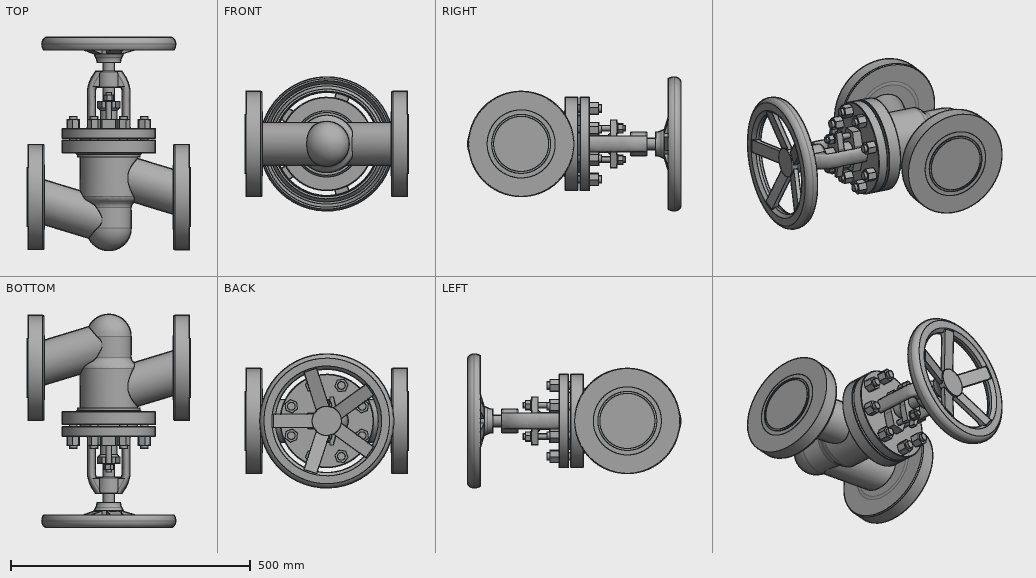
import cadquery as cq
import math


FACE_TO_FACE = 340.0
FLANGE_RADIUS = 110.0
FLANGE_BACK_X = 135.0
FLANGE_CHAMFER_LENGTH = 3.0
FLANGE_CHAMFER_DEPTH = 1.5
RAISED_FACE_RADIUS = 61.5
RAISED_FACE_HEIGHT = 2.0
FACE_RING_RADIUS = 71.0
FACE_RING_HEIGHT = 0.3
FACE_RECESS_RADIUS = 57.5
FACE_RECESS_DEPTH = 0.5
BACK_BOSS_RADIUS = 64.0
BACK_BOSS_HEIGHT = 0.8

PIPE_RADIUS = 45.0
PIPE_SLOPE_DEG = 17.0

BODY_RADIUS = 60.0
LOWER_RADIUS = 47.0
BODY_LOW_Y = 1.6
LOWER_TOP_Y = -22.0
BALL_CENTER_Y = -65.0
COLLAR_RADIUS = 65.5
COLLAR_FLARE_RADIUS = 69.0
COLLAR_LOW_Y = 83.7
COLLAR_FLARE_Y = 88.5

BONNET_FLANGE_RADIUS = 97.5
BODY_FLANGE_LOW_Y = 91.5
BODY_FLANGE_TOP_Y = 118.5
GASKET_RADIUS = 60.0
BONNET_LOW_Y = 122.5
BONNET_TOP_Y = 143.0
JOINT_CHAMFER = 1.0

BOLT_COUNT = 8
BOLT_CIRCLE_RADIUS = 80.0
STUD_RADIUS = 8.0
STUD_TOP_Y = 168.0
NUT_ACROSS_CORNERS = 28.0
NUT_HEIGHT = 18.5

GLAND_HALF_WIDTH = 23.5
GLAND_END_HALF_WIDTH = 14.0
GLAND_HALF_LENGTH = 50.0
GLAND_SHOULDER_Z = 15.0
GLAND_PLATE_LOW_Y = 186.0
GLAND_PLATE_TOP_Y = 199.5
GLAND_SLEEVE_RADIUS = 17.4
GLAND_CONE_RADIUS = 22.5
GLAND_CONE_LOW_Y = 180.5
STUFFING_BOX_HALF_LENGTH = 45.0
STUFFING_BOX_TOP_Y = 162.0
GLAND_STUD_Z = 32.7
GLAND_STUD_RADIUS = 6.0
GLAND_STUD_TOP_Y = 217.5
GLAND_SLOT_WIDTH = 13.0
GLAND_WASHER_RADIUS = 10.5
GLAND_WASHER_THICKNESS = 2.0
GLAND_NUT_ACROSS_CORNERS = 21.0
GLAND_NUT_HEIGHT = 11.0
GLAND_NUT_TURN_DEG = 48.0

YOKE_HUB_RADIUS = 25.0
YOKE_HUB_LOW_Y = 228.0
YOKE_HUB_TOP_Y = 262.6
YOKE_HUB_CHAMFER_LENGTH = 3.0
YOKE_HUB_CHAMFER_DEPTH = 0.8
ARM_CENTER_X = 36.0
ARM_HALF_WIDTH = 9.0
ARM_HALF_DEPTH = 16.6
ARM_BEND_Y = 224.0
ARM_BEND_RADIUS = 22.0
ARM_LEAN_DEG = 31.0
ARM_LEAN_LENGTH = 38.0
ARM_LEG_STEPS = 4
YOKE_WEB_LOW_Y = 231.0
YOKE_WEB_HALF_DEPTH = 16.2

STEM_RADIUS = 12.2
WHEEL_RADIUS = 140.0
WHEEL_LOW_Y = 306.5
WHEEL_MID_Y = 319.4
WHEEL_TOP_Y = 333.5
WHEEL_HUB_LOW_Y = 280.5
WHEEL_HUB_TOP_Y = 312.0
SPOKE_COUNT = 5
SPOKE_WIDTH = 28.0
SPOKE_THICKNESS = 9.7
SPOKE_RISE = 0.30


def revolve_about_y(profile):
    """Turn a closed XY profile, drawn at X >= 0, about the Y axis."""
    return profile.close().revolve(360, (0, 0, 0), (0, 1, 0))


def plan_at(y):
    """Workplane across the stem axis at height y; extrude by a negative length to go towards +Y."""
    return cq.Workplane("XZ", origin=(0, y, 0))


def cylinder(radius, low_y, top_y, x=0, z=0):
    return plan_at(low_y).center(x, z).circle(radius).extrude(low_y - top_y)


def hex_nut(across_corners, low_y, height, x, z, turn_deg):
    """Hexagonal prism with one corner at turn_deg from +X."""
    nut = plan_at(low_y).polygon(6, across_corners).extrude(-height)
    return nut.rotate((0, 0, 0), (0, 1, 0), -turn_deg).translate((x, 0, z))


def pipe_flange():
    """Flange on the -X side with its raised face, face recess and low boss behind."""
    face_x = -FACE_TO_FACE / 2
    front_x = face_x + RAISED_FACE_HEIGHT
    back_x = -FLANGE_BACK_X
    profile = (
        cq.Workplane("XY")
        .moveTo(face_x + FACE_RECESS_DEPTH, 0)
        .lineTo(face_x + FACE_RECESS_DEPTH, FACE_RECESS_RADIUS)
        .lineTo(face_x, FACE_RECESS_RADIUS)
        .lineTo(face_x, RAISED_FACE_RADIUS)
        .lineTo(front_x - FACE_RING_HEIGHT, RAISED_FACE_RADIUS)
        .lineTo(front_x - FACE_RING_HEIGHT, FACE_RING_RADIUS)
        .lineTo(front_x, FACE_RING_RADIUS)
        .lineTo(front_x, FLANGE_RADIUS)
        .lineTo(back_x - FLANGE_CHAMFER_LENGTH, FLANGE_RADIUS)
        .lineTo(back_x, FLANGE_RADIUS - FLANGE_CHAMFER_DEPTH)
        .lineTo(back_x, FACE_RING_RADIUS)
        .lineTo(back_x + BACK_BOSS_HEIGHT, BACK_BOSS_RADIUS)
        .lineTo(back_x + BACK_BOSS_HEIGHT, 0)
    )
    return profile.close().revolve(360, (0, 0, 0), (1, 0, 0))


def slanted_pipe():
    """Pipe from the centre of the -X flange face, falling towards the stem axis."""
    slope = math.radians(PIPE_SLOPE_DEG)
    axis_rise = FACE_TO_FACE / 2 * math.tan(slope)
    direction = cq.Vector(-math.cos(slope), math.sin(slope), 0)
    length = FLANGE_BACK_X / math.cos(slope) + PIPE_RADIUS * math.tan(slope)
    pipe = cq.Solid.makeCylinder(PIPE_RADIUS, length, cq.Vector(0, -axis_rise, 0), direction)
    return cq.Workplane(pipe)


def pipe_side():
    return pipe_flange().union(slanted_pipe())


def body():
    """Turned body with the rounded neck, the ball end and the collar under the body flange."""
    downwards = (0, -1)
    profile = (
        cq.Workplane("XY")
        .moveTo(0, BODY_FLANGE_LOW_Y)
        .lineTo(COLLAR_FLARE_RADIUS, BODY_FLANGE_LOW_Y)
        .lineTo(COLLAR_RADIUS, COLLAR_FLARE_Y)
        .lineTo(COLLAR_RADIUS, COLLAR_LOW_Y)
        .lineTo(BODY_RADIUS, COLLAR_LOW_Y)
        .lineTo(BODY_RADIUS, BODY_LOW_Y)
        .spline([(LOWER_RADIUS, LOWER_TOP_Y)], tangents=[downwards, downwards], includeCurrent=True)
        .lineTo(LOWER_RADIUS, BALL_CENTER_Y)
        .radiusArc((0, BALL_CENTER_Y - LOWER_RADIUS), LOWER_RADIUS)
    )
    return revolve_about_y(profile)


def bonnet_joint():
    """Body flange and bonnet flange with the gasket between them."""
    lower = cylinder(BONNET_FLANGE_RADIUS, BODY_FLANGE_LOW_Y, BODY_FLANGE_TOP_Y)
    upper = cylinder(BONNET_FLANGE_RADIUS, BONNET_LOW_Y, BONNET_TOP_Y)
    gasket = cylinder(GASKET_RADIUS, BODY_FLANGE_TOP_Y, BONNET_LOW_Y)
    flanges = lower.edges().chamfer(JOINT_CHAMFER).union(upper.edges().chamfer(JOINT_CHAMFER))
    return flanges.union(gasket)


def bonnet_bolts():
    """Ring of studs and nuts, no bolt on the X or Z axis, each nut with a corner pointing outwards."""
    step_deg = 360 / BOLT_COUNT
    bolts = cq.Workplane()
    for index in range(BOLT_COUNT):
        angle_deg = (index + 0.5) * step_deg
        x = BOLT_CIRCLE_RADIUS * math.cos(math.radians(angle_deg))
        z = BOLT_CIRCLE_RADIUS * math.sin(math.radians(angle_deg))
        stud = cylinder(STUD_RADIUS, BODY_FLANGE_LOW_Y, STUD_TOP_Y, x, z)
        nut = hex_nut(NUT_ACROSS_CORNERS, BONNET_TOP_Y, NUT_HEIGHT, x, z, angle_deg)
        bolts = bolts.add(stud.union(nut))
    return bolts.combine()


def gland_prism(half_length, low_y, top_y):
    """Eight-sided plate, narrowed at both Z ends."""
    quarter = [(GLAND_HALF_WIDTH, GLAND_SHOULDER_Z), (GLAND_END_HALF_WIDTH, half_length)]
    right = [(x, -z) for x, z in reversed(quarter)] + quarter
    left = [(-x, -z) for x, z in right]
    return plan_at(low_y).polyline(right + left).close().extrude(low_y - top_y)


def gland_sleeve():
    profile = (
        cq.Workplane("XY")
        .moveTo(0, BONNET_TOP_Y)
        .lineTo(GLAND_SLEEVE_RADIUS, BONNET_TOP_Y)
        .lineTo(GLAND_SLEEVE_RADIUS, GLAND_CONE_LOW_Y)
        .lineTo(GLAND_CONE_RADIUS, GLAND_PLATE_LOW_Y)
        .lineTo(0, GLAND_PLATE_LOW_Y)
    )
    return revolve_about_y(profile)


def gland_plate():
    """Gland plate with a slot for each gland stud, open at the ends."""
    plate = gland_prism(GLAND_HALF_LENGTH, GLAND_PLATE_LOW_Y, GLAND_PLATE_TOP_Y)
    slot_length = GLAND_HALF_LENGTH - GLAND_STUD_Z
    slot_center_z = GLAND_STUD_Z + slot_length / 2
    slots = (
        plan_at(GLAND_PLATE_LOW_Y)
        .pushPoints([(0, -slot_center_z), (0, slot_center_z)])
        .rect(GLAND_SLOT_WIDTH, slot_length)
        .extrude(GLAND_PLATE_LOW_Y - GLAND_PLATE_TOP_Y)
    )
    return plate.cut(slots)


def gland():
    """Stuffing box, gland sleeve and plate, and the two gland studs with washers and nuts."""
    parts = gland_prism(STUFFING_BOX_HALF_LENGTH, BONNET_TOP_Y, STUFFING_BOX_TOP_Y)
    parts = parts.union(gland_plate())
    parts = parts.union(gland_sleeve())
    nut_y = GLAND_PLATE_TOP_Y + GLAND_WASHER_THICKNESS
    for z in (-GLAND_STUD_Z, GLAND_STUD_Z):
        parts = parts.union(cylinder(GLAND_STUD_RADIUS, BONNET_TOP_Y, GLAND_STUD_TOP_Y, 0, z))
        parts = parts.union(cylinder(GLAND_WASHER_RADIUS, GLAND_PLATE_TOP_Y, nut_y, 0, z))
        nut = hex_nut(GLAND_NUT_ACROSS_CORNERS, nut_y, GLAND_NUT_HEIGHT, 0, z, GLAND_NUT_TURN_DEG)
        parts = parts.union(nut)
    return parts


def yoke_arm():
    """Oval arm on the +X side, leaning in at the top, with a web joining it to the yoke hub."""
    lean = math.radians(ARM_LEAN_DEG)
    bend_x = ARM_CENTER_X - ARM_BEND_RADIUS * (1 - math.cos(lean))
    bend_y = ARM_BEND_Y + ARM_BEND_RADIUS * math.sin(lean)
    tip_x = bend_x - ARM_LEAN_LENGTH * math.sin(lean)
    tip_y = bend_y + ARM_LEAN_LENGTH * math.cos(lean)
    leg_step = (ARM_BEND_Y - BONNET_TOP_Y) / ARM_LEG_STEPS
    leg_points = [(ARM_CENTER_X, BONNET_TOP_Y + i * leg_step) for i in range(ARM_LEG_STEPS + 1)]
    arm_points = leg_points + [(bend_x, bend_y), (tip_x, tip_y)]
    end_tangents = [(0, 1), (-math.sin(lean), math.cos(lean))]
    path = cq.Workplane("XY").spline(arm_points, tangents=end_tangents)
    section = plan_at(BONNET_TOP_Y).center(ARM_CENTER_X, 0).ellipse(ARM_HALF_WIDTH, ARM_HALF_DEPTH)
    arm = section.sweep(path)
    web_outline = [
        (0, YOKE_WEB_LOW_Y),
        (bend_x, YOKE_WEB_LOW_Y),
        (bend_x, bend_y),
        (tip_x, tip_y),
        (0, tip_y),
    ]
    web_plane = cq.Workplane("XY", origin=(0, 0, -YOKE_WEB_HALF_DEPTH))
    web = web_plane.polyline(web_outline).close().extrude(2 * YOKE_WEB_HALF_DEPTH)
    above_hub = plan_at(YOKE_HUB_TOP_Y).rect(4 * ARM_CENTER_X, 4 * ARM_HALF_DEPTH).extrude(-tip_y)
    return arm.union(web).cut(above_hub)


def yoke():
    hub = cylinder(YOKE_HUB_RADIUS, YOKE_HUB_LOW_Y, YOKE_HUB_TOP_Y)
    hub = hub.faces(">Y or <Y").chamfer(YOKE_HUB_CHAMFER_LENGTH, YOKE_HUB_CHAMFER_DEPTH)
    arm = yoke_arm()
    return hub.union(arm).union(arm.mirror("YZ"))


def wheel_rim():
    """Rim with a rounded outside and a groove open towards the valve."""
    lip_radius = 136.0
    lower_bulge_radius = 22.8
    shoulder_radius = 131.0
    upper_bulge_radius = 15.5
    groove_wall_radius = 132.0
    groove_outer_radius = 125.5
    groove_inner_radius = 121.0
    groove_floor_y = 322.0
    ledge_outer_radius = 114.5
    ledge_inner_radius = 110.0
    ledge_y = 312.5
    bore_radius = 107.5
    bore_top_y = 326.0
    profile = (
        cq.Workplane("XY")
        .moveTo(lip_radius, WHEEL_LOW_Y)
        .radiusArc((WHEEL_RADIUS, WHEEL_MID_Y), -lower_bulge_radius)
        .radiusArc((shoulder_radius, WHEEL_TOP_Y), -upper_bulge_radius)
        .lineTo(ledge_outer_radius, WHEEL_TOP_Y)
        .lineTo(bore_radius, bore_top_y)
        .lineTo(bore_radius, WHEEL_MID_Y)
        .lineTo(ledge_inner_radius, ledge_y)
        .lineTo(ledge_outer_radius, ledge_y)
        .lineTo(groove_inner_radius, groove_floor_y)
        .lineTo(groove_outer_radius, groove_floor_y)
        .lineTo(groove_wall_radius, WHEEL_LOW_Y)
    )
    return revolve_about_y(profile)


def wheel_hub():
    """Hub with a straight top and an underside flaring out from the bottom."""
    bottom_radius = 25.0
    curve_point = (25.4, 286.0)
    flare_start = (27.5, 291.5)
    flare_end = (30.5, 298.0)
    profile = (
        cq.Workplane("XY")
        .moveTo(0, WHEEL_HUB_LOW_Y)
        .lineTo(bottom_radius, WHEEL_HUB_LOW_Y)
        .threePointArc(curve_point, flare_start)
        .lineTo(*flare_end)
        .lineTo(flare_end[0], WHEEL_HUB_TOP_Y)
        .lineTo(0, WHEEL_HUB_TOP_Y)
    )
    return revolve_about_y(profile)


def wheel_spokes():
    """Flat spokes rising from the hub to the rim, levelling off underneath at the outer end."""
    inner_r = 20.0
    level_r = 96.5
    outer_r = 111.0
    inner_y = 296.2
    level_y = inner_y + SPOKE_RISE * (level_r - inner_r)
    outer_y = inner_y + SPOKE_RISE * (outer_r - inner_r)
    spoke = (
        cq.Workplane("XY", origin=(0, 0, -SPOKE_WIDTH / 2))
        .moveTo(inner_r, inner_y)
        .lineTo(level_r, level_y)
        .lineTo(outer_r, level_y)
        .lineTo(outer_r, outer_y + SPOKE_THICKNESS)
        .lineTo(inner_r, inner_y + SPOKE_THICKNESS)
        .close()
        .extrude(SPOKE_WIDTH)
    )
    spokes = spoke
    for index in range(1, SPOKE_COUNT):
        spokes = spokes.union(spoke.rotate((0, 0, 0), (0, 1, 0), index * 360 / SPOKE_COUNT))
    return spokes


def handwheel():
    return wheel_rim().union(wheel_hub()).union(wheel_spokes())


inlet = pipe_side()
outlet = inlet.rotate((0, 0, 0), (0, 0, 1), 180)
stem = cylinder(STEM_RADIUS, BONNET_TOP_Y, WHEEL_HUB_TOP_Y)

result = body().union(bonnet_joint()).union(inlet).union(outlet)
result = result.union(bonnet_bolts()).union(gland()).union(stem).union(yoke()).union(handwheel())